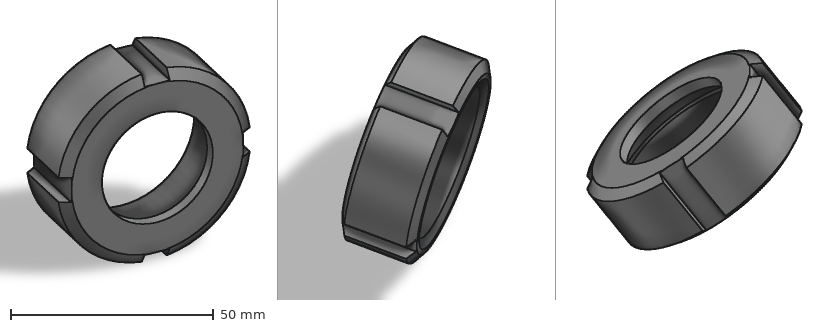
import cadquery as cq
import math

outer_diameter = 54.0
width = 20.0

bevel_height = 3.0
bevel_angle = 30.0
bevel_length = bevel_height * math.tan(math.radians(bevel_angle))

mouth_diameter = 45.0
bore_diameter = 40.19
mouth_angle = 30.0
mouth_length = (mouth_diameter - bore_diameter) / 2 * math.tan(math.radians(mouth_angle))
bore_end = 12.0
relief_diameter = 44.4
floor_depth = 17.0
hole_diameter = 31.0

slot_count = 4
slot_width = 7.0
slot_floor_radius = 24.0


def revolve_about_x(half_section):
    """Revolve (x, radius) points about the X axis."""
    sketch = cq.Workplane("XY").polyline(half_section).close()
    return sketch.revolve(360, (0, 0, 0), (1, 0, 0))


def bevelled_disc():
    outer_radius = outer_diameter / 2
    face_radius = outer_radius - bevel_height
    return revolve_about_x([
        (0, 0),
        (0, face_radius),
        (bevel_length, outer_radius),
        (width - bevel_length, outer_radius),
        (width, face_radius),
        (width, 0),
    ])


def stepped_bore():
    bore_radius = bore_diameter / 2
    relief_radius = relief_diameter / 2
    hole_radius = hole_diameter / 2
    return revolve_about_x([
        (0, 0),
        (0, mouth_diameter / 2),
        (mouth_length, bore_radius),
        (bore_end, bore_radius),
        (bore_end, relief_radius),
        (floor_depth, relief_radius),
        (floor_depth, hole_radius),
        (width, hole_radius),
        (width, 0),
    ])


def spanner_slot(angle):
    cutter_height = outer_diameter / 2
    cutter = cq.Workplane("XY").box(width, slot_width, cutter_height, centered=(False, True, False))
    return cutter.translate((0, 0, slot_floor_radius)).rotate((0, 0, 0), (1, 0, 0), angle)


nut = bevelled_disc().cut(stepped_bore())
for index in range(slot_count):
    nut = nut.cut(spanner_slot(index * 360 / slot_count))

result = nut.translate((-width / 2, 0, 0))